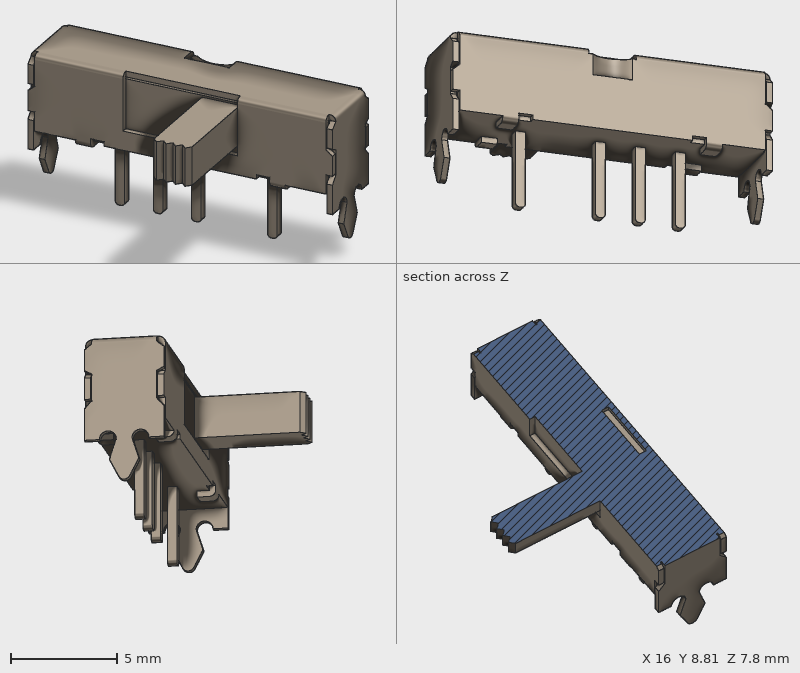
import cadquery as cq


length = 16.0
depth = 3.81
height = 4.0
sheet = 0.3
half_length = length / 2
half_depth = depth / 2
corner_relief = 0.35
wall_end = half_length - corner_relief
wall_bottom = 1.0
bend_tangent = height - sheet

tongue_top = 2.04
tongue_slope = 0.28
notch_top = 2.41
notch_top_slope = 0.18
notch_bottom = 0.54
notch_bottom_slope = 0.37

plate_bottom = -1.0
plate_corner_drop = 0.28
leg_relief_radius = 0.4
leg_relief_offset = 0.78
leg_hip_width = 1.41
leg_hip_z = -2.0
leg_tip_width = 0.56
leg_tip_shoulder_z = -2.82
leg_tip_z = -3.0

tab_inner = 4.0
tab_outer = 5.5
tab_step = 4.7
tab_short_bottom = 0.23
fold_reach = 0.9

window_width = 6.0
lever_width = 2.0
lever_height = 2.0
lever_reach = 5.0
lever_center_x = 2.0
lever_bottom = 1.5
tooth_count = 4
tooth_depth = 0.25

dent_opening_width = 2.36
dent_opening_depth = 1.01
dent_radius = 1.8
dent_thickness = 0.34
dent_depth = 0.72
dent_top = bend_tangent
dent_bottom = 2.65
dent_pocket_depth = 0.67
dent_pocket_bottom = 2.0
dent_pocket_width = 3.2

core_top = 3.6
core_half_length = half_length - sheet
core_half_depth = half_depth - sheet

pin_positions = (-4.0, -2.0, 0.0, 4.0)
pin_width = 0.5
pin_thickness = 0.45
pin_bottom = -3.8
pin_tip_radius = 0.2


def block(x_range, y_range, z_range):
    """Axis-aligned box given by its limits."""
    size = [limits[1] - limits[0] for limits in (x_range, y_range, z_range)]
    corner = (x_range[0], y_range[0], z_range[0])
    return cq.Workplane("XY").box(*size, centered=False).translate(corner)


def both_sides(shape, plane):
    """The shape together with its mirror image."""
    return shape.union(shape.mirror(plane))


def make_long_channel():
    """Top plate with the front and rear walls folded down from it."""
    channel = block((-wall_end, wall_end), (-half_depth, half_depth), (wall_bottom, height))
    channel = channel.edges("|X and >Z").fillet(sheet)
    inside = block((-wall_end, wall_end), (-core_half_depth, core_half_depth), (wall_bottom, bend_tangent))
    return channel.cut(inside)


def make_end_bends():
    """Top plate with the bends leading down to the end plates."""
    width = half_depth - corner_relief
    bends = block((-half_length, half_length), (-width, width), (wall_bottom, height))
    bends = bends.edges("|Y and >Z").fillet(sheet)
    inside = block((-core_half_length, core_half_length), (-width, width), (wall_bottom, bend_tangent))
    return bends.cut(inside)


def make_tongue():
    """Tongue at the left end of the front wall."""
    outline = [
        (-wall_end, wall_bottom),
        (-half_length, wall_bottom),
        (-half_length, tongue_top),
        (-wall_end, tongue_top + tongue_slope),
    ]
    return cq.Workplane("XZ", origin=(0, -core_half_depth, 0)).polyline(outline).close().extrude(sheet)


def make_end_plate():
    """Left end plate with notched sides, relieved lower edge and board leg."""
    step_in = half_depth - corner_relief
    half_outline = [
        (0, bend_tangent),
        (step_in, bend_tangent),
        (half_depth, bend_tangent - plate_corner_drop),
        (half_depth, notch_top),
        (step_in, notch_top - notch_top_slope),
        (step_in, notch_bottom + notch_bottom_slope),
        (half_depth, notch_bottom),
        (half_depth, plate_bottom),
        (0, plate_bottom),
    ]
    plane = cq.Workplane("YZ", origin=(-half_length, 0, 0))
    half_plate = plane.polyline(half_outline).close().extrude(sheet)
    relief = plane.center(leg_relief_offset, plate_bottom).circle(leg_relief_radius).extrude(sheet)
    plate = both_sides(half_plate.cut(relief), "XZ")

    neck = leg_relief_offset - leg_relief_radius
    hip = leg_hip_width / 2
    tip = leg_tip_width / 2
    leg = (
        plane.moveTo(-neck, plate_bottom)
        .lineTo(-hip, leg_hip_z)
        .lineTo(-tip, leg_tip_shoulder_z)
        .threePointArc((0, leg_tip_z), (tip, leg_tip_shoulder_z))
        .lineTo(hip, leg_hip_z)
        .lineTo(neck, plate_bottom)
        .close()
        .extrude(sheet)
    )
    return plate.union(leg)


def make_tab():
    """Left front tab: a short part, and a part folded under the base."""
    wall = (-half_depth, -core_half_depth)
    short_part = block((-tab_step, -tab_inner), wall, (tab_short_bottom, wall_bottom))
    folded_part = block((-tab_outer, -tab_step), wall, (-sheet, wall_bottom))
    flange = block((-tab_outer, -tab_step), (-half_depth, -half_depth + fold_reach), (-sheet, 0))
    folded_part = folded_part.union(flange).edges("|X and <Y and <Z").fillet(sheet)
    return short_part.union(folded_part)


def make_dent():
    """Strip of the rear wall pressed inwards as an arc."""
    center_y = half_depth - dent_depth + dent_radius
    dent_height = dent_top - dent_bottom
    ring = (
        cq.Workplane("XY", origin=(0, center_y, dent_bottom))
        .circle(dent_radius)
        .circle(dent_radius - dent_thickness)
        .extrude(dent_height)
    )
    half_width = dent_opening_width / 2
    return ring.intersect(
        block((-half_width, half_width), (half_depth - dent_depth, half_depth), (dent_bottom, dent_top))
    )


def make_cover():
    cover = make_long_channel().union(make_end_bends())
    corner_details = both_sides(make_tongue().union(make_tab()), "XZ")
    cover = cover.union(both_sides(corner_details.union(make_end_plate()), "YZ"))

    half_window = window_width / 2
    window = block((-half_window, half_window), (-half_depth, -core_half_depth), (wall_bottom, height))
    half_opening = dent_opening_width / 2
    opening = block(
        (-half_opening, half_opening),
        (half_depth - dent_opening_depth, half_depth),
        (dent_bottom, height),
    )
    return cover.cut(window).cut(opening).union(make_dent())


def make_core():
    """Inner body, a hair lower than the cover, with a pocket for the dent."""
    core = block(
        (-core_half_length, core_half_length),
        (-core_half_depth, core_half_depth),
        (0, core_top),
    )
    half_pocket = dent_pocket_width / 2
    pocket = block(
        (-half_pocket, half_pocket),
        (half_depth - dent_pocket_depth, half_depth),
        (dent_pocket_bottom, core_top),
    )
    return core.cut(pocket)


def make_base():
    """Base rim, flush with the long walls of the cover and slotted for their tabs."""
    rim = block((-wall_end, wall_end), (-half_depth, half_depth), (0, wall_bottom))
    slot = block((-tab_outer, -tab_inner), (-half_depth, -core_half_depth), (0, wall_bottom))
    return rim.cut(both_sides(both_sides(slot, "XZ"), "YZ"))


def make_lever():
    """Lever with a serrated tip."""
    left = lever_center_x - lever_width / 2
    tip_y = -half_depth - lever_reach
    root_y = tip_y + tooth_depth
    pitch = lever_width / tooth_count
    outline = [(left, -core_half_depth), (left, root_y)]
    for tooth in range(tooth_count):
        start = left + tooth * pitch
        outline.append((start + pitch / 2, tip_y))
        outline.append((start + pitch, root_y))
    outline.append((left + lever_width, -core_half_depth))
    plane = cq.Workplane("XY", origin=(0, 0, lever_bottom))
    return plane.polyline(outline).close().extrude(lever_height)


def make_pin(x):
    """Terminal pin with a rounded tip."""
    half_width = pin_width / 2
    half_thickness = pin_thickness / 2
    pin = block((x - half_width, x + half_width), (-half_thickness, half_thickness), (pin_bottom, 0))
    return pin.edges("|Y and <Z").fillet(pin_tip_radius)


inner_body = make_core().union(make_lever())
for pin_x in pin_positions:
    inner_body = inner_body.union(make_pin(pin_x))

result = make_cover().union(inner_body).union(make_base(), clean=False)